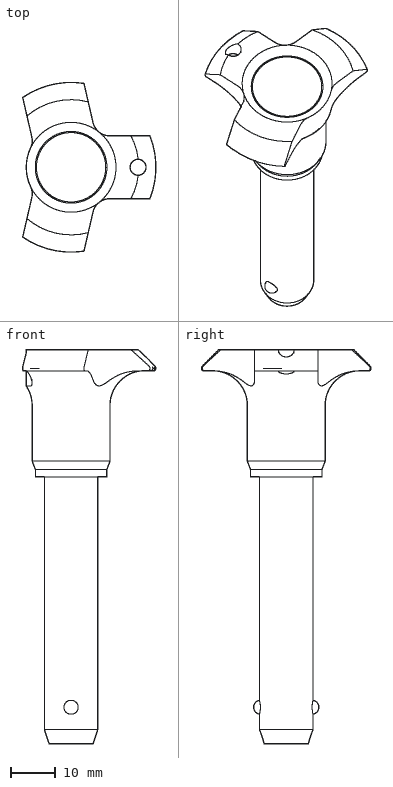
import cadquery as cq
import math

length = 88.1

shank_radius = 6.0
tip_radius = 4.9
tip_height = 3.2
ball_radius = 1.6
ball_height = 8.2
ball_offset = 5.7

collar_radius = 8.0
collar_depth = 28.5
taper_bottom_depth = 26.8
grip_radius = 8.7
grip_bottom_depth = 24.9

rim_diameter = 38.0
rim_depth = 3.9
rim_upper_round = 0.8
rim_lower_round = 0.5
head_depth = 4.8
flare_radius = 7.7
hub_radius = 10.0
arm_width = 14.1
arm_reach = 22.0
arm_angles = (0, 103, -103)
arm_fillet = 3.8
lanyard_hole_diameter = 3.5
lanyard_hole_offset = 15.0

dish_depth = 1.3
dish_floor_radius = 8.0
button_radius = 7.75
button_face_radius = 7.05
button_edge_round = 0.7
button_edge_height = 0.4
button_crown_height = 0.7

rim_radius = rim_diameter / 2
top_land_radius = rim_radius - rim_depth
head_bottom = length - head_depth
flare_bottom = head_bottom - flare_radius
rim_height = length - rim_depth
dish_floor = length - dish_depth


def revolve(profile):
    """Turn a closed (radius, height) profile around Z."""
    return profile.close().revolve(360, (0, 0, 0), (0, 1, 0))


def make_shank():
    collar_bottom = length - collar_depth
    taper_bottom = length - taper_bottom_depth
    grip_bottom = length - grip_bottom_depth
    body = revolve(
        cq.Workplane("XZ")
        .lineTo(tip_radius, 0)
        .lineTo(shank_radius, tip_height)
        .lineTo(shank_radius, collar_bottom)
        .lineTo(collar_radius, collar_bottom)
        .lineTo(collar_radius, taper_bottom)
        .lineTo(grip_radius, grip_bottom)
        .lineTo(grip_radius, flare_bottom)
        .lineTo(0, flare_bottom)
    )
    for side in (-1, 1):
        ball = cq.Workplane("XY").sphere(ball_radius)
        body = body.union(ball.translate((0, side * ball_offset, ball_height)))
    return body


def make_head_disc():
    """Mushroom shape: flared underside, rounded rim and bevelled top edge."""
    flare_end_radius = grip_radius + flare_radius
    tangent_length = rim_upper_round * math.tan(math.radians(22.5))
    bevel_shift = tangent_length * math.sin(math.radians(45))
    return revolve(
        cq.Workplane("XZ")
        .moveTo(0, flare_bottom)
        .lineTo(grip_radius, flare_bottom)
        .radiusArc((flare_end_radius, head_bottom), flare_radius)
        .lineTo(rim_radius - rim_lower_round, head_bottom)
        .radiusArc((rim_radius, head_bottom + rim_lower_round), -rim_lower_round)
        .lineTo(rim_radius, rim_height - tangent_length)
        .radiusArc((rim_radius - bevel_shift, rim_height + bevel_shift), -rim_upper_round)
        .lineTo(top_land_radius, length)
        .lineTo(0, length)
    )


def make_head_outline():
    """Prism with the plan of the head: a round hub and three filleted arms."""
    height = length - flare_bottom
    plan = cq.Workplane("XY", origin=(0, 0, flare_bottom))
    outline = None
    for angle in arm_angles:
        arm = plan.center(arm_reach / 2, 0).rect(arm_reach, arm_width).extrude(height)
        arm = arm.rotate((0, 0, 0), (0, 0, 1), angle)
        outline = arm if outline is None else outline.union(arm)
    front_corners = cq.selectors.BoxSelector(
        (0, -hub_radius, flare_bottom), (hub_radius, hub_radius, length)
    )
    outline = outline.edges("|Z").edges(front_corners).fillet(arm_fillet)
    outline = outline.union(plan.circle(hub_radius).extrude(height))
    back_corners = cq.selectors.BoxSelector(
        (-hub_radius, -hub_radius, flare_bottom), (-arm_width / 4, hub_radius, length)
    )
    return outline.edges("|Z").edges(back_corners).fillet(arm_fillet)


def make_dish():
    """Conical recess in the top that leaves the domed button standing."""
    button_edge = dish_floor + button_edge_height
    button_crown = dish_floor + button_crown_height
    recess = revolve(
        cq.Workplane("XZ")
        .moveTo(0, dish_floor)
        .lineTo(dish_floor_radius, dish_floor)
        .lineTo(hub_radius, length)
        .lineTo(0, length)
    )
    crown_rise = button_crown - button_edge
    crown_radius = (button_face_radius**2 + crown_rise**2) / (2 * crown_rise)
    button = revolve(
        cq.Workplane("XZ")
        .moveTo(0, dish_floor)
        .lineTo(button_radius, dish_floor)
        .radiusArc((button_face_radius, button_edge), -button_edge_round)
        .radiusArc((0, button_crown), -crown_radius)
    )
    return recess.cut(button)


head = make_head_disc().intersect(make_head_outline()).cut(make_dish())
lanyard_hole = (
    cq.Workplane("XY", origin=(lanyard_hole_offset, 0, flare_bottom))
    .circle(lanyard_hole_diameter / 2)
    .extrude(length - flare_bottom)
)
result = make_shank().union(head).cut(lanyard_hole)